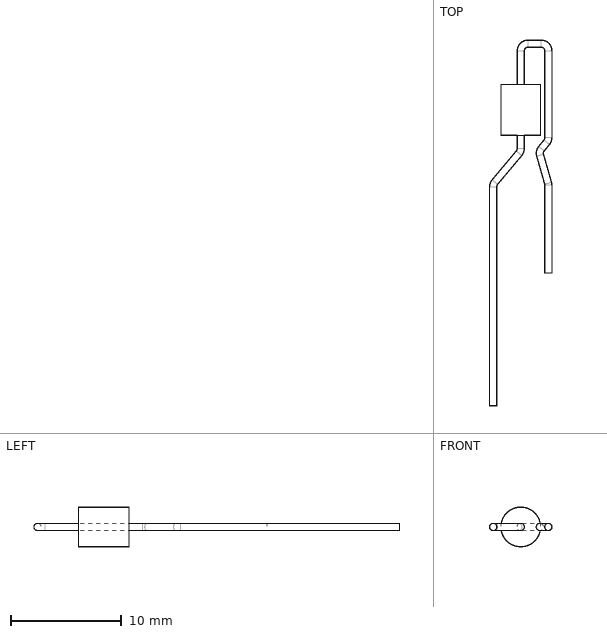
import cadquery as cq

body_diameter = 3.6
body_length = 4.6

wire_diameter = 0.65
bend_radius = 0.65
lead_pitch = 4.98
overall_length = 33.0
loop_top_y = 6.3
left_end_y = loop_top_y - overall_length
right_end_y = -14.72
spread_start_y = -3.73
straight_start_y = -6.7
kink_start_y = -2.75
kink_x = 1.65
kink_y = -3.75

left_x = -lead_pitch / 2
right_x = lead_pitch / 2
loop_y = loop_top_y - wire_diameter / 2

lead_corners = [
    (left_x, left_end_y),
    (left_x, straight_start_y),
    (0, spread_start_y),
    (0, loop_y),
    (right_x, loop_y),
    (right_x, kink_start_y),
    (kink_x, kink_y),
    (right_x, straight_start_y),
    (right_x, right_end_y),
]


def rounded_path(corners, radius):
    """Open path through the corners, each inner corner rounded by a tangent arc."""
    points = [cq.Vector(x, y) for x, y in corners]
    path = cq.Workplane("XY").moveTo(*corners[0])
    for before, corner, after in zip(points, points[1:], points[2:]):
        incoming = (corner - before).normalized()
        outgoing = (after - corner).normalized()
        setback = radius * (outgoing - incoming).Length / (outgoing + incoming).Length
        arc_start = corner - incoming * setback
        arc_end = corner + outgoing * setback
        path = path.lineTo(arc_start.x, arc_start.y)
        path = path.tangentArcPoint((arc_end.x, arc_end.y), relative=False)
    return path.lineTo(*corners[-1])


def make_body():
    end_face = cq.Workplane("XZ", origin=(0, body_length / 2, 0)).circle(body_diameter / 2)
    return end_face.extrude(body_length)


def make_lead():
    section = cq.Workplane("XZ", origin=(left_x, left_end_y, 0)).circle(wire_diameter / 2)
    return section.sweep(rounded_path(lead_corners, bend_radius))


result = make_body().union(make_lead())